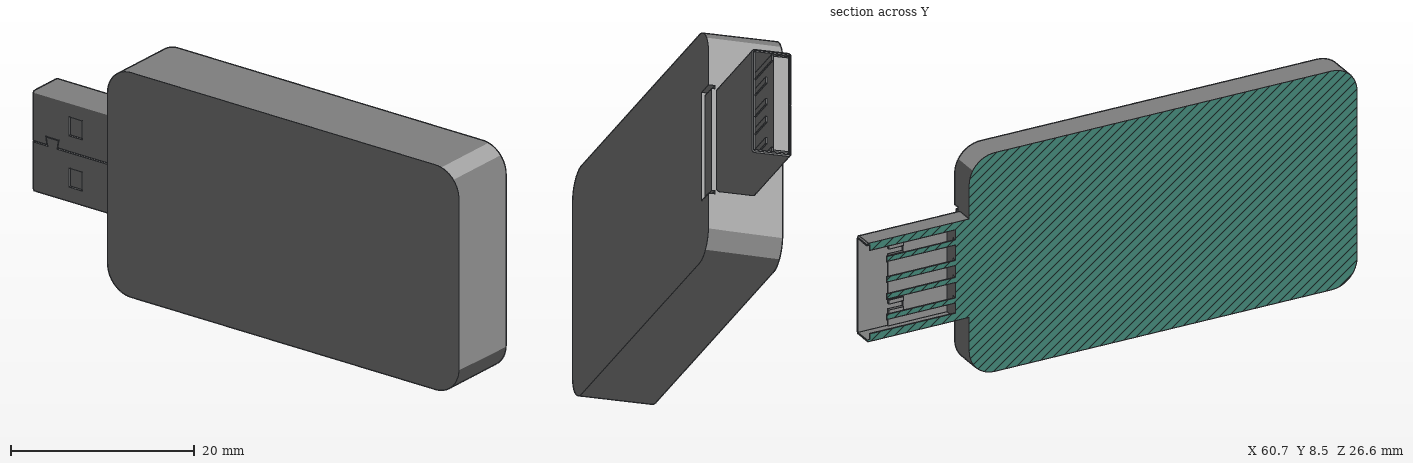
import cadquery as cq

total_length = 60.7
body_thickness = 8.5
body_height = 26.65
body_corner_radius = 3.2
plug_length = 12.6

shell_height = 12.0
shell_thickness = 4.5
shell_back_y = -0.9
shell_wall = 0.3
shell_corner_radius = 0.35
mouth_chamfer = 0.15
shell_front_y = shell_back_y - shell_thickness
cavity_height = shell_height - 2 * shell_wall
cavity_back_y = shell_back_y - shell_wall
cavity_front_y = shell_front_y + shell_wall

window_length = 1.8
window_height = 2.25
window_start_x = 5.0
window_offset_z = 3.05

seam_width = 0.2
tab_gap = 0.09
tab_height = 1.05
tab_tip_width = 1.8
tab_root_width = 1.45
tab_centers_x = (2.75, 11.35)

tongue_start_x = 0.1
tongue_back_y = -3.4
tongue_tip_chamfer = 0.25
rail_width = 0.65
rail_thickness = 0.2
base_start_x = 10.9

contact_offsets_z = (-3.5, -1.05, 1.05, 3.5)
contact_start_x = 2.4
contact_width = 0.65
contact_thickness = 0.2
recess_back_y = -2.75
recess_depth = 1.2

liner_start_x = 3.65
liner_front_y = -1.4
spring_length = 1.8
spring_height = 1.7
spring_slot_height = 0.7
spring_front_y = -1.6
spring_offset_z = 3.35

notch_height = 12.6
notch_depth_y = 0.7
notch_depth_x = 2.4
board_height = 11.9
board_back_y = -0.35


def block(x_range, y_range, height, center_z=0.0):
    """Box between the low and high values in X and Y, centred on center_z."""
    x0, x1 = x_range
    y0, y1 = y_range
    return cq.Workplane("XY").box(x1 - x0, y1 - y0, height).translate(
        ((x0 + x1) / 2, (y0 + y1) / 2, center_z)
    )


def make_body():
    body = block((plug_length, total_length), (-body_thickness, 0), body_height)
    body = body.edges("|Y").fillet(body_corner_radius)
    notch_end_x = plug_length + notch_depth_x
    body = body.cut(block((plug_length, notch_end_x), (-notch_depth_y, 0), notch_height))
    board = block((plug_length, notch_end_x), (-notch_depth_y, board_back_y), board_height)
    return body.union(board)


def dovetail(margin):
    """Tab shape through the shell wall, widest at its top end and shrunk by margin on three sides."""
    half_root = tab_root_width / 2 - margin
    half_tip = tab_tip_width / 2 - margin
    profile = [
        (-half_root, -seam_width / 2),
        (half_root, -seam_width / 2),
        (half_tip, tab_height - margin),
        (-half_tip, tab_height - margin),
    ]
    return (
        cq.Workplane("XZ", origin=(0, cavity_front_y, 0)).polyline(profile).close().extrude(shell_wall)
    )


def make_seam():
    wall = (shell_front_y, cavity_front_y)
    seam = block((0, plug_length), wall, seam_width)
    for x in tab_centers_x:
        seam = seam.union(dovetail(0).translate((x, 0, 0)))
        seam = seam.cut(dovetail(tab_gap).translate((x, 0, 0)))
    return seam


def make_shell():
    shell = block((0, plug_length), (shell_front_y, shell_back_y), shell_height)
    shell = shell.edges("|X").fillet(shell_corner_radius)
    shell = shell.faces("<X").edges().chamfer(mouth_chamfer)
    shell = shell.cut(block((0, plug_length), (cavity_front_y, cavity_back_y), cavity_height))
    window_range_x = (window_start_x, window_start_x + window_length)
    for side in (-1, 1):
        shell = shell.cut(
            block(window_range_x, (shell_front_y, cavity_front_y), window_height, side * window_offset_z)
        )
    return shell.cut(make_seam())


def make_tongue():
    tongue_range_x = (tongue_start_x, plug_length)
    tongue = block(tongue_range_x, (cavity_front_y, tongue_back_y), cavity_height)
    tongue = tongue.faces("<X").edges("|Y").chamfer(tongue_tip_chamfer)
    rail_range_x = (tongue_start_x + tongue_tip_chamfer, plug_length)
    rail_offset_z = (cavity_height - rail_width) / 2
    rail_range_y = (tongue_back_y, tongue_back_y + rail_thickness)
    for side in (-1, 1):
        tongue = tongue.union(block(rail_range_x, rail_range_y, rail_width, side * rail_offset_z))
    return tongue


def make_base():
    """Block at the back of the shell, with the contact recesses and the contact strips."""
    base = block((base_start_x, plug_length), (tongue_back_y, cavity_back_y), cavity_height)
    recess_range_x = (base_start_x, base_start_x + recess_depth)
    strip_back_y = tongue_back_y + contact_thickness
    for z in contact_offsets_z:
        base = base.cut(block(recess_range_x, (strip_back_y, recess_back_y), contact_width, z))
        base = base.union(
            block((contact_start_x, plug_length), (tongue_back_y, strip_back_y), contact_width, z)
        )
    return base


def make_liner():
    liner = block((liner_start_x, plug_length), (liner_front_y, cavity_back_y), cavity_height)
    spring_range_x = (liner_start_x, liner_start_x + spring_length)
    spring_range_y = (spring_front_y, cavity_back_y)
    for side in (-1, 1):
        center_z = side * spring_offset_z
        liner = liner.union(block(spring_range_x, spring_range_y, spring_height, center_z))
        liner = liner.cut(block(spring_range_x, spring_range_y, spring_slot_height, center_z))
    return liner


result = make_body().union(make_shell()).union(make_tongue()).union(make_base()).union(make_liner())